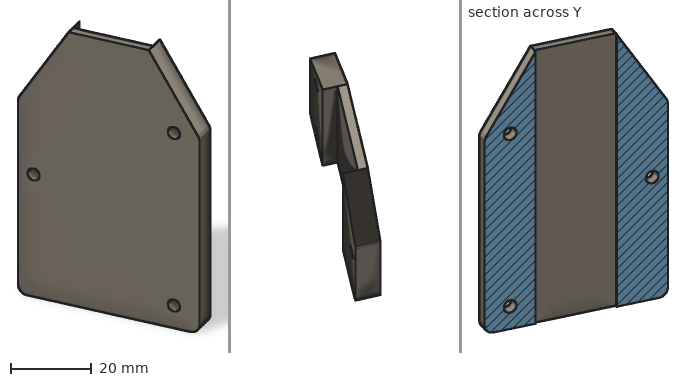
import cadquery as cq

width = 49.81
depth = 6.35
height = 76.2

top_width = 22.0
shoulder_drop = 21.6
corner_radius = 2.54

floor_thickness = 2.54

hole_diameter = 3.3
right_hole_inset = 7.0
left_hole_inset = 4.3
lower_hole_height = 6.35
middle_hole_height = 34.2
upper_hole_height = 54.6

half_width = width / 2
half_top = top_width / 2
shoulder_height = height - shoulder_drop

right_hole_x = half_width - right_hole_inset
left_hole_x = -half_width + left_hole_inset
hole_centres = [
    (right_hole_x, lower_hole_height),
    (right_hole_x, upper_hole_height),
    (left_hole_x, middle_hole_height),
]


def front_plane():
    """XZ sketch plane on the front face; positive extrusion runs toward -Y."""
    return cq.Workplane("XZ")


def make_plate():
    """Full-depth body with rounded bottom corners and shoulders."""
    plate = (
        front_plane()
        .moveTo(-half_width, 0)
        .lineTo(half_width, 0)
        .lineTo(half_width, shoulder_height)
        .lineTo(half_top, height)
        .lineTo(-half_top, height)
        .lineTo(-half_width, shoulder_height)
        .close()
        .extrude(-depth)
    )
    side_corners = plate.edges("|Y and (<X or >X)")
    return side_corners.fillet(corner_radius)


def make_channel():
    """Straight channel behind the floor, running from bottom to top."""
    return cq.Workplane("XY").box(
        top_width, depth - floor_thickness, height, centered=(True, False, False)
    ).translate((0, floor_thickness, 0))


def make_holes():
    """Cylinders for the screw holes."""
    return front_plane().pushPoints(hole_centres).circle(hole_diameter / 2).extrude(-depth)


result = make_plate().cut(make_channel()).cut(make_holes())